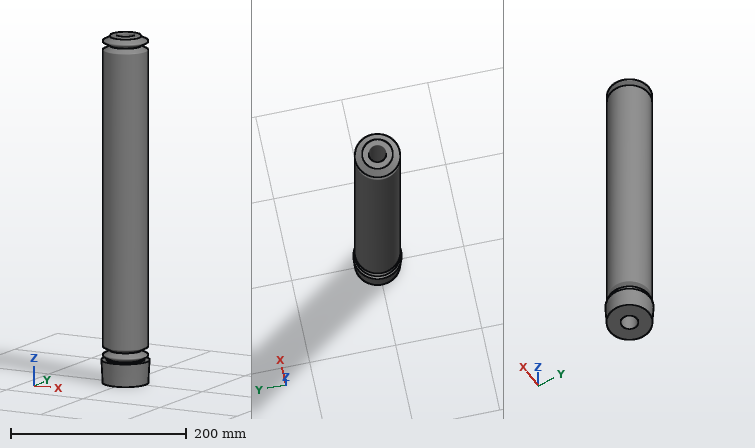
import cadquery as cq
import math

total_height = 404.52
body_radius = 52 / 2
bore_radius = 20 / 2

foot_height = 26.7
foot_top_radius = 55.3 / 2
foot_bottom_radius = 52.5 / 2
foot_step_radius = 43.38 / 2
foot_step_height = 0.4

end_face_radius = 34 / 2
end_round = 0.5
lip_radius = end_face_radius + end_round
lip_height = 2.0

flank_angle = math.radians(26.5)
neck_radius = lip_radius
neck_width = 0.5
rim_round = 1.5
body_edge_round = 1.0


def flank_rise(inner_radius, edge_round):
    """Axial distance along a flank, from inner_radius to the centre of the rounding at its outer edge."""
    centre_radius = body_radius - edge_round
    return (centre_radius - inner_radius) * math.tan(flank_angle) + edge_round / math.cos(flank_angle)


def flank_tangent(edge_round):
    """Radial and axial offsets from the centre of a rounding to its tangent point on a flank."""
    return edge_round * math.sin(flank_angle), edge_round * math.cos(flank_angle)


foot_step_z = foot_height + foot_step_height
lower_rim_z = foot_step_z + flank_rise(neck_radius, rim_round)
lower_neck_z = lower_rim_z + flank_rise(neck_radius, rim_round)
body_bottom_z = lower_neck_z + neck_width + flank_rise(neck_radius, body_edge_round)

lip_base_z = total_height - lip_height
upper_rim_z = lip_base_z - flank_rise(lip_radius, rim_round)
upper_neck_z = upper_rim_z - flank_rise(neck_radius, rim_round)
body_top_z = upper_neck_z - neck_width - flank_rise(neck_radius, body_edge_round)


def add_foot(outline):
    """Tapered foot with a low step on top, in to where the lower rim starts."""
    return (
        outline.lineTo(foot_bottom_radius, 0)
        .lineTo(foot_top_radius, foot_height)
        .lineTo(foot_step_radius, foot_height)
        .lineTo(foot_step_radius, foot_step_z)
        .lineTo(neck_radius, foot_step_z)
    )


def add_rim(outline, rim_z):
    """Lower flank and rounded edge of a rim."""
    radial, axial = flank_tangent(rim_round)
    tangent_radius = body_radius - rim_round + radial
    return outline.lineTo(tangent_radius, rim_z - axial).threePointArc(
        (body_radius, rim_z), (tangent_radius, rim_z + axial)
    )


def add_neck(outline, neck_bottom_z):
    """Upper flank below a neck, then the narrow cylindrical neck."""
    return outline.lineTo(neck_radius, neck_bottom_z).lineTo(neck_radius, neck_bottom_z + neck_width)


def add_body(outline):
    """Long cylindrical body with both edges rounded."""
    radial, axial = flank_tangent(body_edge_round)
    tangent_radius = body_radius - body_edge_round + radial
    return (
        outline.lineTo(tangent_radius, body_bottom_z - axial)
        .tangentArcPoint((body_radius, body_bottom_z), relative=False)
        .lineTo(body_radius, body_top_z)
        .tangentArcPoint((tangent_radius, body_top_z + axial), relative=False)
    )


def add_top_end(outline):
    """Lip and end face, rounded at the lip and at the mouth of the bore."""
    round_z = total_height - end_round
    return (
        outline.lineTo(lip_radius, lip_base_z)
        .lineTo(lip_radius, round_z)
        .tangentArcPoint((end_face_radius, total_height), relative=False)
        .lineTo(bore_radius + end_round, total_height)
        .tangentArcPoint((bore_radius, round_z), relative=False)
    )


half_section = cq.Workplane("YZ").moveTo(bore_radius, 0)
half_section = add_foot(half_section)
half_section = add_rim(half_section, lower_rim_z)
half_section = add_neck(half_section, lower_neck_z)
half_section = add_body(half_section)
half_section = add_neck(half_section, upper_neck_z - neck_width)
half_section = add_rim(half_section, upper_rim_z)
half_section = add_top_end(half_section)

result = half_section.close().revolve(360, (0, 0, 0), (0, 1, 0))